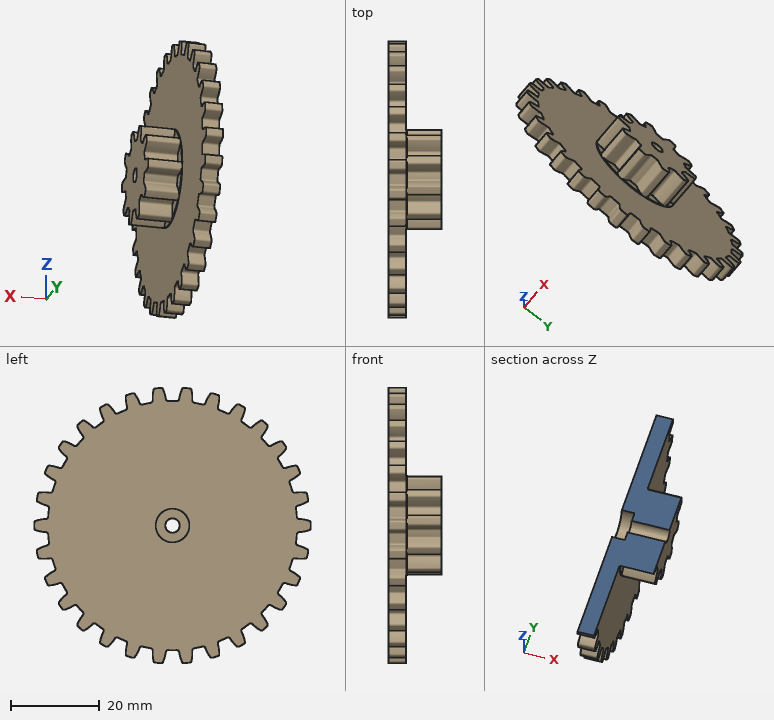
import cadquery as cq
import math

module = 2.0
addendum = 1.25
dedendum = 1.8
edge_round = 0.5

root_tooth_width = 3.05
pitch_tooth_width = 2.7
tip_tooth_width = 1.95

wheel_teeth = 30
wheel_thickness = 4.0
wheel_phase = 0.0

pinion_teeth = 10
pinion_phase = 30.6
collar_thickness = 0.2
total_length = 12.0

bore_diameter = 3.2
counterbore_diameter = 7.6
counterbore_depth = 3.0

pinion_start = wheel_thickness + collar_thickness
pinion_length = total_length - pinion_start
collar_diameter = module * pinion_teeth + 2 * addendum


def polar(radius, angle):
    return (radius * math.cos(angle), radius * math.sin(angle))


def cylinder(diameter, start, length):
    """Cylinder on the gear axis whose near face lies at X = start."""
    return cq.Workplane("YZ", origin=(start, 0, 0)).circle(diameter / 2).extrude(length)


def toothed_disc(teeth, phase, start, length):
    """Spur gear whose near face lies at X = start."""
    pitch_radius = module * teeth / 2
    tip_radius = pitch_radius + addendum
    root_radius = pitch_radius - dedendum

    root_half = root_tooth_width / 2 / root_radius
    pitch_half = pitch_tooth_width / 2 / pitch_radius
    tip_half = tip_tooth_width / 2 / tip_radius

    tooth_step = 2 * math.pi / teeth
    first_centre = math.radians(phase)
    first_point = polar(root_radius, first_centre - root_half)

    outline = cq.Workplane("YZ", origin=(start, 0, 0)).moveTo(*first_point)
    for index in range(teeth):
        centre = first_centre + index * tooth_step
        gap_centre = centre + tooth_step / 2
        next_flank = centre + tooth_step - root_half
        outline = (
            outline
            .threePointArc(polar(pitch_radius, centre - pitch_half), polar(tip_radius, centre - tip_half))
            .threePointArc(polar(tip_radius, centre), polar(tip_radius, centre + tip_half))
            .threePointArc(polar(pitch_radius, centre + pitch_half), polar(root_radius, centre + root_half))
            .threePointArc(polar(root_radius, gap_centre), polar(root_radius, next_flank))
        )
    gear = outline.close().extrude(length)

    return gear.edges("|X").fillet(edge_round)


wheel = toothed_disc(wheel_teeth, wheel_phase, 0, wheel_thickness)
collar = cylinder(collar_diameter, wheel_thickness, collar_thickness)
pinion = toothed_disc(pinion_teeth, pinion_phase, pinion_start, pinion_length)

bore = cylinder(bore_diameter, 0, total_length)
counterbore = cylinder(counterbore_diameter, 0, counterbore_depth)

result = wheel.union(collar).union(pinion).cut(bore).cut(counterbore)